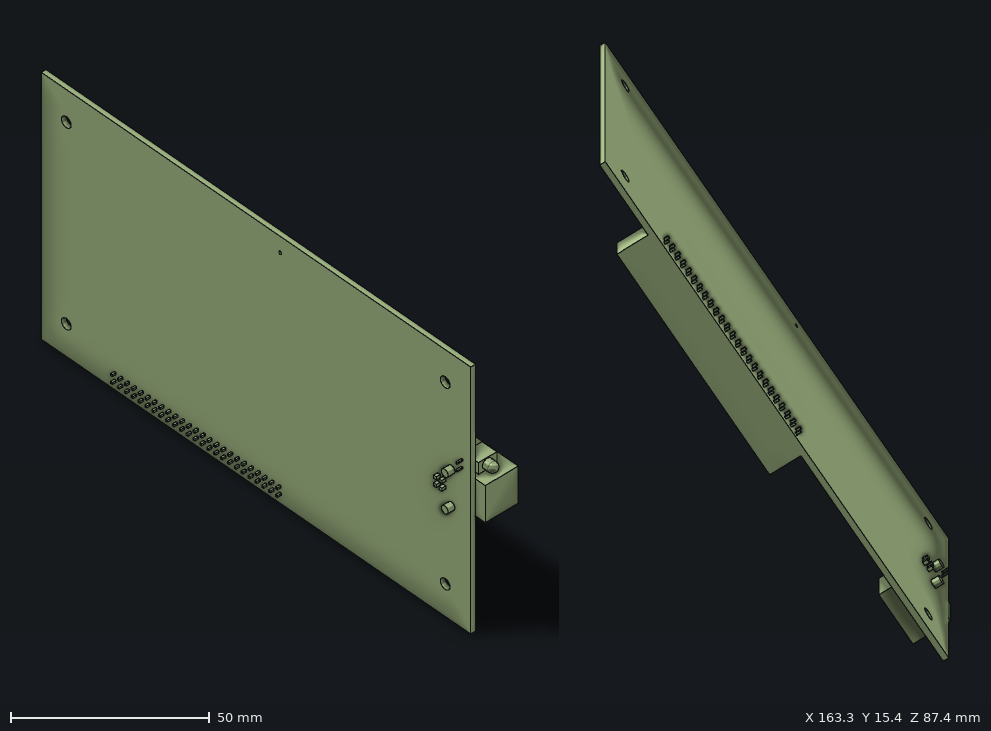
import cadquery as cq


overall_length = 163.35

board_length = 158.75
board_height = 87.41
board_thickness = 1.7

mounting_hole_diameter = 3.5
mounting_hole_columns = 2
mounting_hole_rows = 2
mounting_hole_left = 9.3
mounting_hole_bottom = 10.7
mounting_hole_span_x = 140.0
mounting_hole_span_z = 66.0

header_length = 70.6
header_left = 22.4
header_height = 8.5
header_depth = 9.4
pin_pitch = 2.54
pin_columns = 25
pin_rows = 2
pin_size = 0.64
pin_length = 1.25
first_pin_x = 27.36
first_pin_z = 3.1
last_pin_x = first_pin_x + (pin_columns - 1) * pin_pitch

small_hole_diameter = 1.0
small_hole_z = 82.0

socket_length = 15.8
socket_left = 146.5
socket_height = 12.2
socket_depth = 11.4
socket_center_z = 43.7
socket_pin_size = 1.0
socket_pin_length = 1.4
socket_pin_pitch_x = 2.0
socket_pin_pitch_z = 2.5
socket_pin_center_x = 148.05
peg_diameter = 2.5
peg_length = 2.32
peg_spacing = 12.0
peg_center_x = 151.65

holder_left = 154.3
holder_length = 5.5
holder_height = 3.8
holder_depth = 6.3
holder_center_z = 53.9
lamp_diameter = 3.3
lamp_center_depth = 3.0
lead_size = 0.5
lead_length = 1.95
lead_spacing = 2.54
lead_center_x = 155.6


def block(left, length, back, depth, bottom, height):
    """Box given by its lowest corner and its sizes along X, Y and Z."""
    return cq.Workplane("XY").box(length, depth, height, centered=False).translate((left, back, bottom))


def square_pin(x, z, size, length):
    """Square pin that runs through the board and sticks out of its front face."""
    return block(x - size / 2, size, -length, length + board_thickness, z - size / 2, size)


def round_peg(x, z, diameter, length):
    """Round peg that runs through the board and sticks out of its front face."""
    base = cq.Workplane("XZ", origin=(x, board_thickness, z))
    return base.circle(diameter / 2).extrude(length + board_thickness)


def board_hole(x, z, diameter):
    """Cutting cylinder that goes through the board along Y."""
    return cq.Workplane("XZ", origin=(x, board_thickness, z)).circle(diameter / 2).extrude(board_thickness)


def make_board():
    board = block(0, board_length, 0, board_thickness, 0, board_height)
    for column in range(mounting_hole_columns):
        for row in range(mounting_hole_rows):
            x = mounting_hole_left + column * mounting_hole_span_x
            z = mounting_hole_bottom + row * mounting_hole_span_z
            board = board.cut(board_hole(x, z, mounting_hole_diameter))
    for z in (first_pin_z, small_hole_z):
        board = board.cut(board_hole(last_pin_x, z, small_hole_diameter))
    return board


def header_parts():
    parts = [block(header_left, header_length, board_thickness, header_depth, 0, header_height)]
    for column in range(pin_columns):
        for row in range(pin_rows):
            x = first_pin_x + column * pin_pitch
            z = first_pin_z + row * pin_pitch
            parts.append(square_pin(x, z, pin_size, pin_length))
    return parts


def socket_parts():
    bottom = socket_center_z - socket_height / 2
    parts = [block(socket_left, socket_length, board_thickness, socket_depth, bottom, socket_height)]
    for side in (-1, 1):
        peg_z = socket_center_z + side * peg_spacing / 2
        parts.append(round_peg(peg_center_x, peg_z, peg_diameter, peg_length))
        pin_z = socket_center_z + side * socket_pin_pitch_z / 2
        for end in (-1, 1):
            pin_x = socket_pin_center_x + end * socket_pin_pitch_x / 2
            parts.append(square_pin(pin_x, pin_z, socket_pin_size, socket_pin_length))
    return parts


def lamp_parts():
    bottom = holder_center_z - holder_height / 2
    parts = [block(holder_left, holder_length, board_thickness, holder_depth, bottom, holder_height)]
    radius = lamp_diameter / 2
    dome_center_x = overall_length - radius
    holder_right = holder_left + holder_length
    lamp_y = board_thickness + lamp_center_depth
    lens_profile = (
        cq.Workplane("XY", origin=(0, lamp_y, holder_center_z))
        .moveTo(holder_right, 0)
        .lineTo(holder_right, radius)
        .lineTo(dome_center_x, radius)
        .radiusArc((overall_length, 0), radius)
        .close()
    )
    parts.append(lens_profile.revolve(360, (0, 0, 0), (1, 0, 0)))
    for side in (-1, 1):
        lead_z = holder_center_z + side * lead_spacing / 2
        parts.append(square_pin(lead_center_x, lead_z, lead_size, lead_length))
    return parts


result = make_board()
for part in header_parts() + socket_parts() + lamp_parts():
    result = result.union(part)